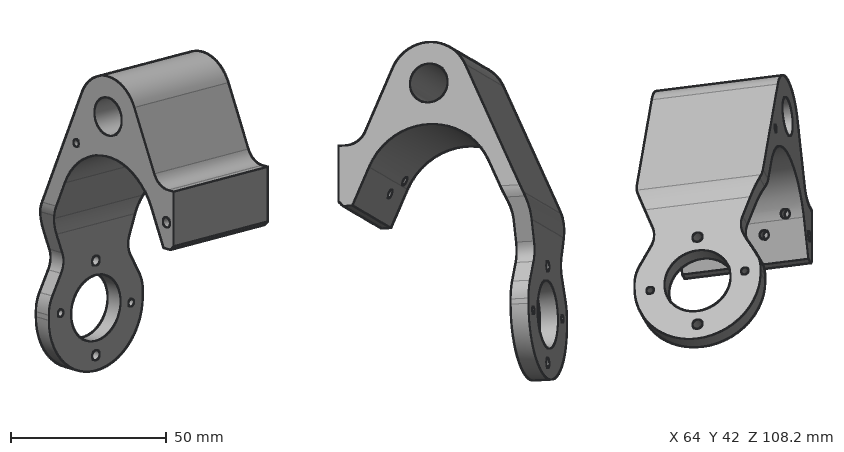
import cadquery as cq
import math

height = 108.2
length_x = 64.0
width = 42.0
half_width = width / 2
wall = 6.1

crown_radius = 13.4
bore_diameter = 12.7
bore_x = 33.6
bore_z = height - crown_radius
leg_angle = math.radians(24.5)
arch_top_z = bore_z - crown_radius

lug_top_z = 76.0
lug_bottom_z = 56.2
lug_chamfer = 1.5
lug_fillet = 7.0

bend_radius = 20.6

disc_z = half_width
flange_bore_diameter = 22.0
flange_hole_circle_radius = 15.8
large_hole_diameter = 3.4
small_hole_diameter = 2.5
small_hole_tilt = math.radians(5)
shoulder_z = 26.0
shoulder_radius = 12.3
neck_half_width = 13.6
neck_z = 38.9
neck_radius = 7.9
neck_top_z = 58.0
neck_top_radius = 10.2

lug_hole_diameter = 3.4
lug_hole_x = 60.6
lug_hole_z = 65.1
lug_hole_depth = 13.0
pin_hole_x = 18.7
pin_hole_z = 82.9
pin_hole_diameter = 1.5
pin_hole_depth = 8.7
pin_counterbore_diameter = 2.5
pin_counterbore_depth = 2.2
drill_point_angle = math.radians(118)

screw_hole_diameter = 3.0
screw_hole_depth = 5.4
screw_holes = [(-15.0, 70.1), (-7.4, 64.7)]

cos_leg = math.cos(leg_angle)
sin_leg = math.sin(leg_angle)
tan_leg = math.tan(leg_angle)


def leg_reach(offset, z):
    """Horizontal distance from the bore axis to a leg line lying `offset` from that axis."""
    return (offset + (bore_z - z) * sin_leg) / cos_leg


def leg_z(offset, reach):
    """Height at which a leg line is `reach` away from the bore axis."""
    return bore_z - (reach * cos_leg - offset) / sin_leg


def side_profile():
    """Bent strip, clamp head and lug as seen along Y, over the full width."""
    inner_offset = crown_radius - wall
    drop = bore_z - arch_top_z
    arch_radius = (inner_offset + drop * sin_leg) / (1 - sin_leg)
    arch_z = arch_top_z - arch_radius

    crown_dx = crown_radius * cos_leg
    crown_z = bore_z + crown_radius * sin_leg
    arch_dx = arch_radius * cos_leg
    arch_end_z = arch_z + arch_radius * sin_leg
    outer_bend_z = leg_z(crown_radius, bore_x)
    inner_bend_z = leg_z(inner_offset, bore_x - wall)

    body = (
        cq.Workplane("XZ")
        .moveTo(0, 0)
        .lineTo(0, outer_bend_z)
        .lineTo(bore_x - crown_dx, crown_z)
        .threePointArc((bore_x, height), (bore_x + crown_dx, crown_z))
        .lineTo(bore_x + leg_reach(crown_radius, lug_top_z), lug_top_z)
        .lineTo(length_x, lug_top_z)
        .lineTo(length_x, lug_bottom_z + lug_chamfer)
        .lineTo(length_x - lug_chamfer, lug_bottom_z)
        .lineTo(bore_x + leg_reach(inner_offset, lug_bottom_z), lug_bottom_z)
        .lineTo(bore_x + arch_dx, arch_end_z)
        .threePointArc((bore_x, arch_top_z), (bore_x - arch_dx, arch_end_z))
        .lineTo(wall, inner_bend_z)
        .lineTo(wall, 0)
        .close()
        .extrude(half_width, both=True)
    )
    body = fillet_edge(body, "Y", (0, 0, outer_bend_z), bend_radius)
    body = fillet_edge(body, "Y", (wall, 0, inner_bend_z), bend_radius - wall)
    lug_corner = (bore_x + leg_reach(crown_radius, lug_top_z), 0, lug_top_z)
    return fillet_edge(body, "Y", lug_corner, lug_fillet)


def fillet_edge(body, axis, point, radius):
    """Round the edge parallel to `axis` whose middle is nearest to `point`."""
    return body.edges("|" + axis).edges(cq.NearestToPointSelector(point)).fillet(radius)


def flange_outline():
    """Disc, waisted neck and full-width upper part, extruded along X."""
    outline = (
        cq.Workplane("YZ")
        .moveTo(-half_width, disc_z)
        .threePointArc((0, disc_z - half_width), (half_width, disc_z))
        .lineTo(half_width, shoulder_z)
        .lineTo(neck_half_width, neck_z)
        .lineTo(half_width, neck_top_z)
        .lineTo(half_width, height)
        .lineTo(-half_width, height)
        .lineTo(-half_width, neck_top_z)
        .lineTo(-neck_half_width, neck_z)
        .lineTo(-half_width, shoulder_z)
        .close()
        .extrude(length_x)
    )
    corners = [
        (half_width, shoulder_z, shoulder_radius),
        (neck_half_width, neck_z, neck_radius),
        (half_width, neck_top_z, neck_top_radius),
    ]
    for y, z, radius in corners:
        for side in (-1, 1):
            outline = fillet_edge(outline, "X", (length_x / 2, side * y, z), radius)
    return outline


def x_hole(y, z, diameter, start, end):
    return cq.Workplane("YZ", origin=(start, y, z)).circle(diameter / 2).extrude(end - start)


def drilled_hole(x, z, diameter, depth):
    """Blind hole from the front face, ending in a cone."""
    radius = diameter / 2
    tip = depth + radius / math.tan(drill_point_angle / 2)
    return (
        cq.Workplane("XY", origin=(x, -half_width, z))
        .polyline([(0, 0), (radius, 0), (radius, depth), (0, tip)])
        .close()
        .revolve(360, (0, 0, 0), (0, 1, 0))
    )


head_side = cq.Workplane("XY").box(length_x, width, height, centered=(False, True, False))
head_side = head_side.translate((bore_x, 0, 0))
result = side_profile().intersect(flange_outline().union(head_side))

head_bore = cq.Workplane("XZ", origin=(bore_x, 0, bore_z)).circle(bore_diameter / 2)
result = result.cut(head_bore.extrude(half_width, both=True))

result = result.cut(x_hole(0, disc_z, flange_bore_diameter, 0, wall))
for side in (-1, 1):
    large_z = disc_z + side * flange_hole_circle_radius
    result = result.cut(x_hole(0, large_z, large_hole_diameter, 0, wall))
    small_y = side * flange_hole_circle_radius * math.cos(small_hole_tilt)
    small_z = disc_z - side * flange_hole_circle_radius * math.sin(small_hole_tilt)
    result = result.cut(x_hole(small_y, small_z, small_hole_diameter, 0, wall))

result = result.cut(drilled_hole(lug_hole_x, lug_hole_z, lug_hole_diameter, lug_hole_depth))
result = result.cut(drilled_hole(pin_hole_x, pin_hole_z, pin_hole_diameter, pin_hole_depth))
pin_counterbore = cq.Workplane("XZ", origin=(pin_hole_x, -half_width, pin_hole_z))
pin_counterbore = pin_counterbore.circle(pin_counterbore_diameter / 2).extrude(-pin_counterbore_depth)
result = result.cut(pin_counterbore)

slope_normal = cq.Vector(cos_leg, 0, sin_leg)
for y, z in screw_holes:
    entry = cq.Vector(bore_x + leg_reach(crown_radius - wall, z), y, z)
    start = entry - slope_normal * screw_hole_diameter
    length = screw_hole_diameter + screw_hole_depth
    screw_hole = cq.Solid.makeCylinder(screw_hole_diameter / 2, length, start, slope_normal)
    result = result.cut(cq.Workplane(screw_hole))